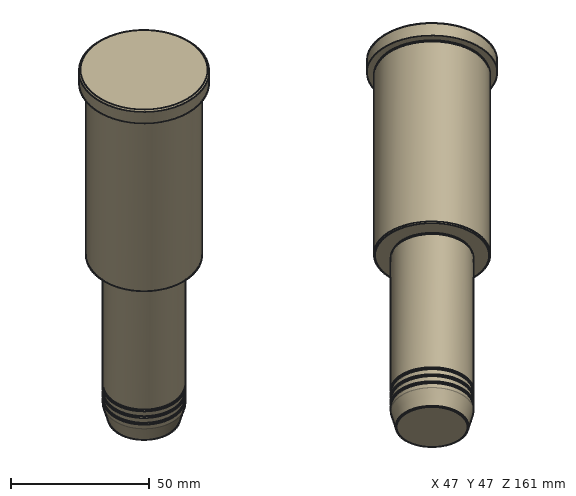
import cadquery as cq
import math

total_length = 161.0
head_height = 6.0
body_length = 80.0
head_radius = 23.5
body_diameter = 42.0
body_radius = body_diameter / 2
pin_radius = 15.0

head_chamfer = 0.6
body_chamfer = 0.5
pin_taper_height = 1.0
pin_taper_depth = 0.5
neck_height = 0.5

lead_height = 7.1
lead_angle = 15.0
tip_radius = pin_radius - lead_height * math.tan(math.radians(lead_angle))
tip_chamfer = 0.3

groove_count = 3
groove_pitch = 3.0
groove_width = 1.0
groove_depth = 0.3
first_groove_z = 9.3

head_bottom = total_length - head_height
body_bottom = head_bottom - body_length


def make_shaft():
    """Revolve the pin, body and head."""
    return (
        cq.Workplane("XZ")
        .moveTo(0, 0)
        .lineTo(tip_radius, 0)
        .lineTo(pin_radius, lead_height)
        .lineTo(pin_radius, body_bottom - pin_taper_height)
        .lineTo(pin_radius - pin_taper_depth, body_bottom)
        .lineTo(body_radius - body_chamfer, body_bottom)
        .lineTo(body_radius, body_bottom + body_chamfer)
        .lineTo(body_radius, head_bottom - neck_height - body_chamfer)
        .lineTo(body_radius - body_chamfer, head_bottom - neck_height)
        .lineTo(body_radius - body_chamfer, head_bottom)
        .lineTo(head_radius, head_bottom)
        .lineTo(head_radius, total_length - head_chamfer)
        .lineTo(head_radius - head_chamfer, total_length)
        .lineTo(0, total_length)
        .close()
        .revolve(360, (0, 0, 0), (0, 1, 0))
        .faces("<Z")
        .edges()
        .chamfer(tip_chamfer)
    )


def make_groove(center_z):
    """Triangular ring of material to remove for one V-shaped groove."""
    return (
        cq.Workplane("XZ")
        .moveTo(pin_radius, center_z - groove_width / 2)
        .lineTo(pin_radius, center_z + groove_width / 2)
        .lineTo(pin_radius - groove_depth, center_z)
        .close()
        .revolve(360, (0, 0, 0), (0, 1, 0))
    )


result = make_shaft()
for index in range(groove_count):
    result = result.cut(make_groove(first_groove_z + index * groove_pitch))